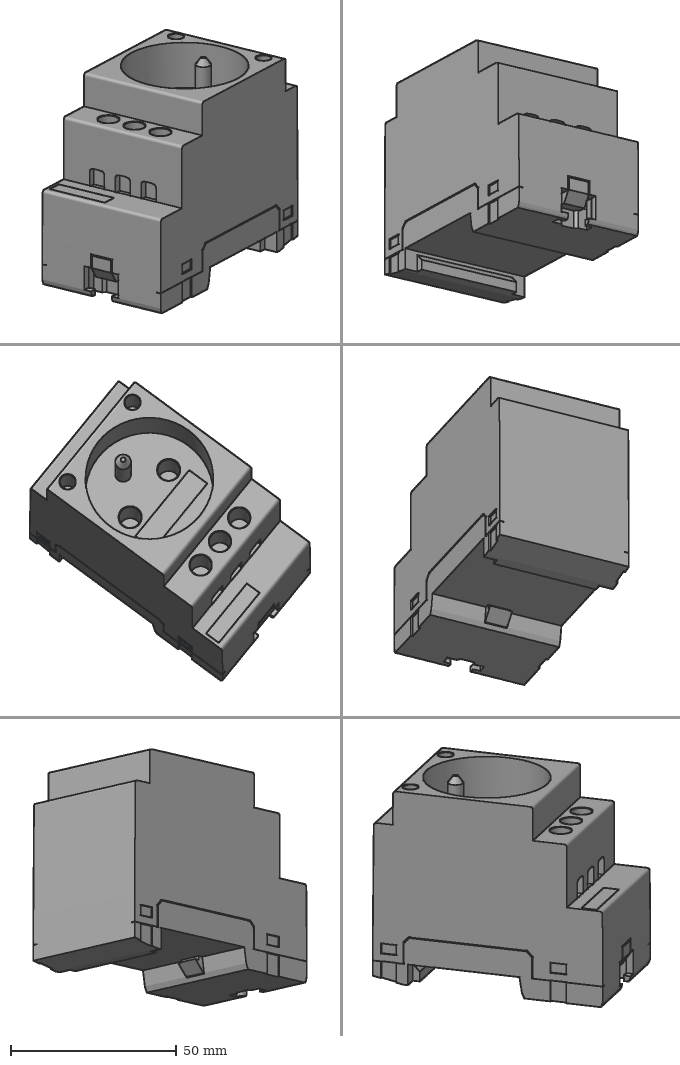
import cadquery as cq
import math

WIDTH = 43.4
LENGTH = 73.9
HEIGHT = 61.6
HALF_WIDTH = WIDTH / 2

RAIL_Z = 6.65
BASE_Z = 15.45
LABEL_STEP_Z = 30.7
TERMINAL_STEP_Z = 50.85
TERMINAL_STEP_Y = 11.5
TOWER_FRONT_Y = 22.5
TOWER_BACK_Y = 67.4
FRONT_LEAN = 0.15
BACK_LEAN = 0.3
STEP_ROUND = 0.95

FOOT_BACK_TOP_Y = 26.8
FOOT_BACK_MID_Y = 26.0
FOOT_BACK_Y = 25.2
TOE_Z = 1.8
TOE_MID_Y = 0.3
TOE_MID_Z = 0.7
TOE_Y = 0.7
HEEL_Y = 62.6
HEEL_SLOPE_END_Y = 64.15
HOOK_Y = 60.3
HOOK_HALF_WIDTH = 17.2
CLIP_TIP_Y = 29.8
CLIP_TIP_Z = 5.5
CLIP_NECK_Y = 28.3
CLIP_ROOT_Z = 1.5

SOCKET_Y = 44.85
SOCKET_DIAMETER = 38.7
SOCKET_DEPTH = 14.7
CONTACT_PITCH = 19.1
CONTACT_DIAMETER = 6.65
CONTACT_RIM = 7.1
PIN_Y = 54.9
PIN_DIAMETER = 4.8
PIN_TIP_DIAMETER = 1.5
PIN_HEIGHT = 14.1
PIN_CONE_HEIGHT = 2.2
SCREW_PITCH = 32.1
SCREW_Y = 63.8
SCREW_DIAMETER = 4.65
SCREW_RIM = 5.0

TERMINAL_PITCH = CONTACT_PITCH / 2
TERMINAL_Y = 17.8
TERMINAL_DIAMETER = 6.5
TERMINAL_RIM = 6.9
HOLE_DEPTH = 11.1
WIRE_PITCH = 9.45
WIRE_WIDTH = 5.5
WIRE_CROWN = 0.4
WIRE_ROUND = 1.2
WIRE_TOP_Z = 36.4
WIRE_DEPTH = 2.4
WIRE_SILL = 0.4

LABEL_DEPTH = 0.1
SOCKET_LABEL = (26.6, 6.95)
SOCKET_LABEL_Y = 36.4
FRONT_LABEL = (20.2, 4.9)
FRONT_LABEL_X = -10.4
FRONT_LABEL_Y = 4.8

SEAM_DEPTH = 1.3
SEAM_WIDTH = 0.3
SEAM_LINE_HEIGHT = 0.1
SEAM_FRONT_Y = 22.5
SEAM_BACK_Y = 64.15
SEAM_CHAMFER = 1.85

LATCH_DEPTH = 0.6
LATCH_BOTTOM_Z = 9.2
LATCH_TOP_Z = 12.4
LATCH_SPANS = ((11.75, 16.9), (66.3, 71.25))

NOTCH_HALF_WIDTH = 6.2
NOTCH_TOP_Z = 9.45
NOTCH_DEPTH = 4.9
NOTCH_STEP = 0.1
LIP_DEPTH = 2.3
LIP_GAP_HALF_WIDTH = 3.7
LIP_ROUND = 0.4
RAMP_DEPTH = 2.5
RAMP_BOTTOM_Z = 5.8
GROOVE_HALF_WIDTHS = (3.1, 2.45, 2.15)
GROOVE_DEPTHS = (0.7, 1.0)
TONGUE_TOP_Z = 13.9
TONGUE_GAP = 0.45
TONGUE_HALF_WIDTH = 3.9
TONGUE_GAP_DEPTH = 0.75


def box(x_span, y_span, z_span):
    """Box between the given limits on the three axes."""
    size = [high - low for low, high in (x_span, y_span, z_span)]
    return cq.Workplane("XY").box(*size, centered=False).translate(
        (x_span[0], y_span[0], z_span[0])
    )


def side_prism(points, half_width):
    """Prism with a Y-Z outline, centred across the width."""
    return cq.Workplane("YZ").polyline(points).close().extrude(half_width, both=True)


def both_sides(left_part):
    """The part on the left side wall together with its mirror image."""
    return left_part.union(left_part.mirror("YZ"))


def tapered_holes(points, top_z, diameter, rim):
    """Blind round holes with a small countersink at the mouth."""
    taper = (rim - diameter) / 2
    holes = cq.Workplane("XY", origin=(0, 0, top_z)).pushPoints(points)
    bores = holes.circle(diameter / 2).extrude(-HOLE_DEPTH)
    mouth = holes.circle(rim / 2).extrude(-taper, taper=45)
    return bores.union(mouth)


def housing():
    """Stepped body with both feet."""
    outline = [
        (TOE_Y, 0),
        (FOOT_BACK_Y, 0),
        (FOOT_BACK_MID_Y, TOE_Z),
        (FOOT_BACK_TOP_Y, RAIL_Z),
        (HEEL_Y, RAIL_Z),
        (HEEL_Y, 0),
        (HEEL_SLOPE_END_Y, 0),
        (LENGTH, TOE_Z),
        (LENGTH, BASE_Z),
        (LENGTH - BACK_LEAN, TERMINAL_STEP_Z),
        (TOWER_BACK_Y, TERMINAL_STEP_Z),
        (TOWER_BACK_Y, HEIGHT),
        (TOWER_FRONT_Y, HEIGHT),
        (TOWER_FRONT_Y, TERMINAL_STEP_Z),
        (TERMINAL_STEP_Y, TERMINAL_STEP_Z),
        (TERMINAL_STEP_Y, LABEL_STEP_Z),
        (FRONT_LEAN, LABEL_STEP_Z),
        (0, BASE_Z),
        (0, TOE_Z),
        (TOE_MID_Y, TOE_MID_Z),
    ]
    body = side_prism(outline, HALF_WIDTH)
    outer_corners = [
        (FRONT_LEAN, LABEL_STEP_Z),
        (TERMINAL_STEP_Y, TERMINAL_STEP_Z),
        (TOWER_FRONT_Y, HEIGHT),
        (TOWER_BACK_Y, HEIGHT),
        (LENGTH - BACK_LEAN, TERMINAL_STEP_Z),
    ]
    for y, z in outer_corners:
        edge = cq.selectors.NearestToPointSelector((0, y, z))
        body = body.edges("|X").edges(edge).fillet(STEP_ROUND)
    return body


def rail_hooks():
    """Fixed hook on the rear foot and sprung clip behind the front foot."""
    hook_rise = HEEL_Y - HOOK_Y
    hook = side_prism(
        [
            (HEEL_SLOPE_END_Y, 0),
            (HOOK_Y, 0),
            (HOOK_Y, CLIP_TIP_Z - hook_rise),
            (HEEL_Y, CLIP_TIP_Z),
            (HEEL_SLOPE_END_Y, CLIP_TIP_Z),
        ],
        HOOK_HALF_WIDTH,
    )
    clip = side_prism(
        [
            (FOOT_BACK_MID_Y, CLIP_ROOT_Z),
            (CLIP_TIP_Y, CLIP_TIP_Z),
            (CLIP_NECK_Y, CLIP_TIP_Z),
            (CLIP_NECK_Y, RAIL_Z),
            (FOOT_BACK_MID_Y, RAIL_Z),
        ],
        LIP_GAP_HALF_WIDTH,
    )
    return hook.union(clip)


def socket_recess():
    """Round recess around the earth pin, with the two contact holes in its floor."""
    floor_z = HEIGHT - SOCKET_DEPTH
    recess = (
        cq.Workplane("XY", origin=(0, SOCKET_Y, floor_z))
        .circle(SOCKET_DIAMETER / 2)
        .extrude(SOCKET_DEPTH)
    )
    shoulder = PIN_HEIGHT - PIN_CONE_HEIGHT
    pin = (
        cq.Workplane("XZ")
        .polyline(
            [
                (0, 0),
                (PIN_DIAMETER / 2, 0),
                (PIN_DIAMETER / 2, shoulder),
                (PIN_TIP_DIAMETER / 2, PIN_HEIGHT),
                (0, PIN_HEIGHT),
            ]
        )
        .close()
        .revolve(360, (0, 0, 0), (0, 1, 0))
        .translate((0, PIN_Y, floor_z))
    )
    contacts = tapered_holes(
        [(side * CONTACT_PITCH / 2, SOCKET_Y) for side in (-1, 1)],
        floor_z,
        CONTACT_DIAMETER,
        CONTACT_RIM,
    )
    return recess.cut(pin).union(contacts)


def screw_holes():
    """Holes in the two rear corners of the tower."""
    points = [(side * SCREW_PITCH / 2, SCREW_Y) for side in (-1, 1)]
    return tapered_holes(points, HEIGHT, SCREW_DIAMETER, SCREW_RIM)


def terminals():
    """Screwdriver holes and the round-topped wire openings below them."""
    columns = (-1, 0, 1)
    points = [(column * TERMINAL_PITCH, TERMINAL_Y) for column in columns]
    cutter = tapered_holes(points, TERMINAL_STEP_Z, TERMINAL_DIAMETER, TERMINAL_RIM)

    half = WIRE_WIDTH / 2
    spring_z = WIRE_TOP_Z - WIRE_CROWN
    for column in columns:
        opening = (
            cq.Workplane("XZ", origin=(column * WIRE_PITCH, TERMINAL_STEP_Y, 0))
            .moveTo(-half, LABEL_STEP_Z - WIRE_SILL)
            .lineTo(half, LABEL_STEP_Z - WIRE_SILL)
            .lineTo(half, spring_z)
            .threePointArc((0, WIRE_TOP_Z), (-half, spring_z))
            .close()
            .extrude(-WIRE_DEPTH)
            .edges("|Y")
            .edges(">Z")
            .fillet(WIRE_ROUND)
        )
        cutter = cutter.union(opening)
    return cutter


def label_fields():
    """Shallow rectangular fields on the socket floor and the front step."""
    socket_field = (
        cq.Workplane("XY", origin=(0, SOCKET_LABEL_Y, HEIGHT - SOCKET_DEPTH))
        .rect(*SOCKET_LABEL)
        .extrude(-LABEL_DEPTH)
    )
    front_field = (
        cq.Workplane("XY", origin=(FRONT_LABEL_X, FRONT_LABEL_Y, LABEL_STEP_Z))
        .rect(*FRONT_LABEL)
        .extrude(-LABEL_DEPTH)
    )
    return socket_field.union(front_field)


def seam_outline(inset):
    """Chamfered top of the base on the side wall, shrunk by an inset."""
    front = SEAM_FRONT_Y + inset
    back = SEAM_BACK_Y - inset
    top = BASE_Z - inset
    chamfer = SEAM_CHAMFER - inset * (2 - math.sqrt(2))
    points = [
        (front, RAIL_Z),
        (front, top - chamfer),
        (front + chamfer, top),
        (back - chamfer, top),
        (back, top - chamfer),
        (back, RAIL_Z),
    ]
    wall = cq.Workplane("YZ", origin=(-HALF_WIDTH, 0, 0))
    return wall.polyline(points).close().extrude(SEAM_DEPTH)


def seams():
    """Narrow gaps between cover and base on both side walls."""
    gap = seam_outline(0).cut(seam_outline(SEAM_WIDTH))
    x_span = (-HALF_WIDTH, -HALF_WIDTH + SEAM_DEPTH)
    z_span = (RAIL_Z, RAIL_Z + SEAM_LINE_HEIGHT)
    gap = gap.union(box(x_span, (0, SEAM_FRONT_Y + SEAM_WIDTH), z_span))
    gap = gap.union(box(x_span, (SEAM_BACK_Y - SEAM_WIDTH, LENGTH), z_span))
    return both_sides(gap)


def latches():
    """Latch windows in the cover, each with a slot below it in the foot."""
    x_span = (-HALF_WIDTH, -HALF_WIDTH + LATCH_DEPTH)
    cutter = cq.Workplane("XY")
    for y_span in LATCH_SPANS:
        cutter = cutter.add(box(x_span, y_span, (LATCH_BOTTOM_Z, LATCH_TOP_Z)))
        cutter = cutter.add(box(x_span, y_span, (0, RAIL_Z)))
    return both_sides(cutter.combine())


def release_notch():
    """Opening in the front foot that reaches the rail clip."""
    inner_half_width = NOTCH_HALF_WIDTH - NOTCH_STEP
    mouth_x = (-NOTCH_HALF_WIDTH, NOTCH_HALF_WIDTH)
    inner_x = (-inner_half_width, inner_half_width)
    front = box(mouth_x, (0, LIP_DEPTH), (0, NOTCH_TOP_Z))
    rear = box(inner_x, (LIP_DEPTH, NOTCH_DEPTH), (0, NOTCH_TOP_Z))
    rear_low = box(inner_x, (LIP_DEPTH, NOTCH_DEPTH + NOTCH_STEP), (0, RAIL_Z))
    pocket = front.union(rear).union(rear_low)

    lip = box(mouth_x, (0, LIP_DEPTH), (0, TOE_Z))
    lip_gap = box((-LIP_GAP_HALF_WIDTH, LIP_GAP_HALF_WIDTH), (0, LIP_DEPTH), (0, TOE_Z))
    lip_ends = lip.cut(lip_gap)
    gap_edges = cq.selectors.BoxSelector(
        (-LIP_GAP_HALF_WIDTH - NOTCH_STEP, -NOTCH_STEP, 0),
        (LIP_GAP_HALF_WIDTH + NOTCH_STEP, LIP_DEPTH + NOTCH_STEP, TOE_Z),
    )
    lip_ends = lip_ends.edges("|Z").edges(gap_edges).fillet(LIP_ROUND)

    ramp = side_prism(
        [
            (0, NOTCH_TOP_Z),
            (RAMP_DEPTH, RAMP_BOTTOM_Z),
            (NOTCH_DEPTH + NOTCH_STEP, RAMP_BOTTOM_Z),
            (NOTCH_DEPTH + NOTCH_STEP, NOTCH_TOP_Z),
        ],
        LIP_GAP_HALF_WIDTH,
    )

    mouth, throat, floor = GROOVE_HALF_WIDTHS
    wall_y = NOTCH_DEPTH + NOTCH_STEP
    throat_y, floor_y = [wall_y + depth for depth in GROOVE_DEPTHS]
    groove = (
        cq.Workplane("XY")
        .polyline(
            [
                (-mouth, wall_y),
                (-throat, throat_y),
                (-floor, floor_y),
                (floor, floor_y),
                (throat, throat_y),
                (mouth, wall_y),
            ]
        )
        .close()
        .extrude(RAMP_BOTTOM_Z)
    )
    return pocket.cut(lip_ends).cut(ramp).union(groove)


def tongue_gap():
    """Narrow gap around the top and sides of the release tongue."""
    inner = TONGUE_HALF_WIDTH - TONGUE_GAP
    y_span = (0, TONGUE_GAP_DEPTH)
    outside = box((-TONGUE_HALF_WIDTH, TONGUE_HALF_WIDTH), y_span, (NOTCH_TOP_Z, TONGUE_TOP_Z))
    inside = box((-inner, inner), y_span, (NOTCH_TOP_Z, TONGUE_TOP_Z - TONGUE_GAP))
    return outside.cut(inside)


result = housing().union(rail_hooks())
for cutter in (
    socket_recess(),
    screw_holes(),
    terminals(),
    label_fields(),
    seams(),
    latches(),
    release_notch(),
    tongue_gap(),
):
    result = result.cut(cutter)